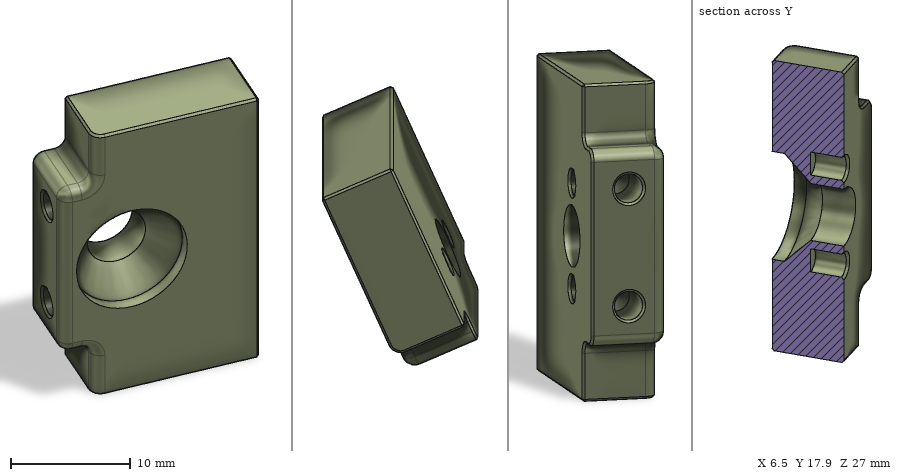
import cadquery as cq
import math

width_x = 6.5
height_z = 27.04
body_depth_y = 15.0
tab_depth_y = 2.9
tab_height_z = 16.8
profile_radius = 1.0
front_edge_radius = 1.05
edge_chamfer = 0.2

tab_front_y = -tab_depth_y
back_y = body_depth_y

bore_y = tab_front_y + 6.4
bore_diameter = 5.25
cone_start_x = 3.0
cone_half_angle = 45.0
recess_diameter = 10.0

side_hole_diameter = 2.1
side_hole_chamfer = 0.22
side_hole_depth = 3.0
side_hole_spacing_z = 9.0

front_hole_x = width_x / 2
front_hole_diameter = 2.45
front_hole_chamfer = 0.2
front_hole_depth = 4.5
front_hole_spacing_z = 10.0
drill_point_angle = 137.0


def make_block():
    """Plate and tab with rounded tab corners, a rounded +X front edge and chamfered outer edges."""
    half_height = height_z / 2
    half_tab = tab_height_z / 2
    profile = [
        (back_y, -half_height),
        (back_y, half_height),
        (0, half_height),
        (0, half_tab),
        (tab_front_y, half_tab),
        (tab_front_y, -half_tab),
        (0, -half_tab),
        (0, -half_height),
    ]
    block = cq.Workplane("YZ").polyline(profile).close().extrude(width_x)

    tab_edges = [e for e in block.edges("|X").vals() if abs(e.Center().z) < (half_tab + half_height) / 2]
    block = block.newObject(tab_edges).fillet(profile_radius)

    front_edges = [e for e in block.faces(">X").edges().vals() if e.Center().y < profile_radius]
    block = block.newObject(front_edges).fillet(front_edge_radius)

    return block.faces("<X or >Y or >Z or <Z").edges().chamfer(edge_chamfer)


def revolved_hole(half_section):
    """Cutter along +Z from the origin; half_section lists its (radius, depth) points off the axis."""
    end_depth = half_section[-1][1]
    outline = [(0, 0)] + half_section
    if half_section[-1][0] > 0:
        outline = outline + [(0, end_depth)]
    return cq.Workplane("XZ").polyline(outline).close().revolve(360, (0, 0, 0), (0, 1, 0))


def along_x(cutter):
    """Turn a +Z cutter to point along +X."""
    return cutter.rotate((0, 0, 0), (0, 1, 0), 90)


def along_y(cutter):
    """Turn a +Z cutter to point along +Y."""
    return cutter.rotate((0, 0, 0), (1, 0, 0), -90)


def make_bore():
    bore_radius = bore_diameter / 2
    recess_radius = recess_diameter / 2
    cone_length = (recess_radius - bore_radius) / math.tan(math.radians(cone_half_angle))
    section = [
        (bore_radius, 0),
        (bore_radius, cone_start_x),
        (recess_radius, cone_start_x + cone_length),
        (recess_radius, width_x),
    ]
    return along_x(revolved_hole(section)).translate((0, bore_y, 0))


def make_side_hole(z):
    radius = side_hole_diameter / 2
    section = [
        (radius + side_hole_chamfer, 0),
        (radius, side_hole_chamfer),
        (radius, side_hole_depth),
    ]
    return along_x(revolved_hole(section)).translate((0, bore_y, z))


def make_front_hole(z):
    radius = front_hole_diameter / 2
    point_length = radius / math.tan(math.radians(drill_point_angle / 2))
    section = [
        (radius + front_hole_chamfer, 0),
        (radius, front_hole_chamfer),
        (radius, front_hole_depth),
        (0, front_hole_depth + point_length),
    ]
    return along_y(revolved_hole(section)).translate((front_hole_x, tab_front_y, z))


part = make_block().cut(make_bore())
for side in (-1, 1):
    part = part.cut(make_side_hole(side * side_hole_spacing_z / 2))
    part = part.cut(make_front_hole(side * front_hole_spacing_z / 2))

result = part